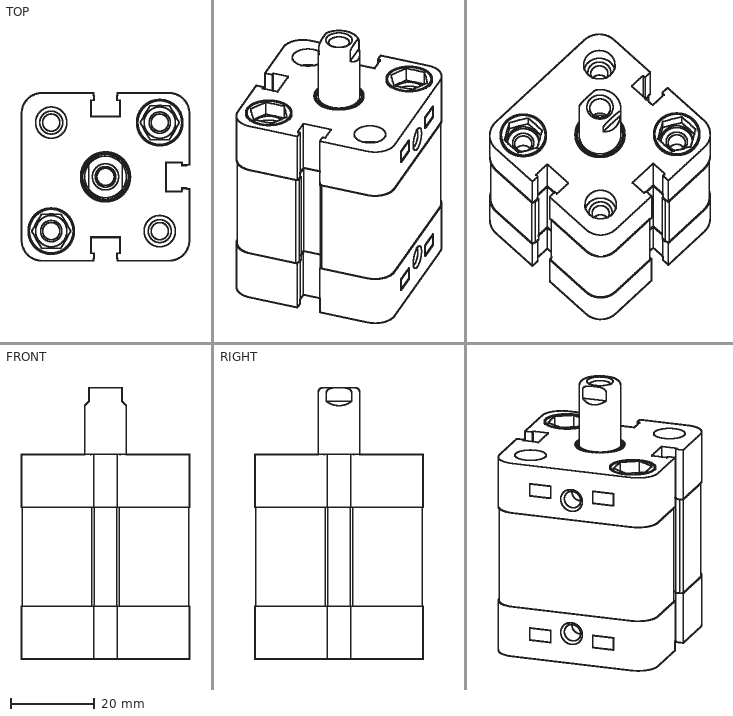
import cadquery as cq
import math


TOTAL_HEIGHT = 65.0
BODY_HEIGHT = 49.0
CAP_WIDTH = 40.3
TUBE_WIDTH = 40.0
CORNER_RADIUS = 5.0
CAP_HEIGHT = 12.6
TUBE_HEIGHT = BODY_HEIGHT - 2 * CAP_HEIGHT
TUBE_TOP = CAP_HEIGHT + TUBE_HEIGHT

SLOT_ANGLES = (0, 90, -90)
SLOT_LIP = 18.3
CAP_SLOT_FLOOR = 14.4
CAP_SLOT_WIDTH = 7.1
CAP_SLOT_OPENING = 5.75
TUBE_SLOT_FLOOR = 14.55
TUBE_SLOT_WIDTH = 6.8
TUBE_SLOT_OPENING = 5.3
TUBE_SLOT_CHAMFER = 0.65

MOUNT_OFFSET = 13.0
THREAD_DIAMETER = 4.13
THREAD_DEPTH = 6.0
RECESS_DEPTH = 4.5
SCREW_CORNERS = ((MOUNT_OFFSET, MOUNT_OFFSET), (-MOUNT_OFFSET, -MOUNT_OFFSET))
PLAIN_CORNERS = ((-MOUNT_OFFSET, MOUNT_OFFSET), (MOUNT_OFFSET, -MOUNT_OFFSET))
RECESS_DIAMETER = 7.5
PLAIN_THREAD_MOUTH = 5.5
SCREW_HEAD_DIAMETER = 11.1
SCREW_HEAD_TOP_DIAMETER = 10.48
SCREW_THREAD_MOUTH = 5.1
HEX_ACROSS_FLATS = 8.1
HEX_DEPTH = 3.4
HEX_RELIEF_DIAMETER = 8.25

PORT_HEIGHT = 7.6
PORT_MOUTH_DIAMETER = 5.5
PORT_DEPTH = 6.0
PANEL_WIDTH = 5.3
PANEL_HEIGHT = 3.05
PANEL_OFFSET = 8.0
PANEL_FROM_END = 6.2
PANEL_DEPTH = 0.2

ROD_DIAMETER = 10.0
ROD_FILLET = 1.1
ROD_FLATS = 8.0
ROD_FLAT_LENGTH = 3.3
ROD_HOLE_MOUTH = 6.3
ROD_HOLE_DIAMETER = 4.92
ROD_HOLE_DEPTH = 9.0
ROD_CORE_DEPTH = 12.0
ROD_FLOOR_ANGLE = 118.0
WIPER_MOUTH_DIAMETER = 12.0
WIPER_BORE_DIAMETER = 11.4
WIPER_LIP_DIAMETER = 10.9
WIPER_LIP_DEPTH = 0.2
WIPER_DEPTH = 0.4


def revolved(profile):
    """Solid of revolution about Z from (radius, height) points."""
    return cq.Workplane("XZ").polyline(profile).close().revolve(360, (0, 0, 0), (0, 1, 0))


def block(width, bottom, height):
    """Square prism with rounded upright corners."""
    prism = cq.Workplane("XY").workplane(offset=bottom).rect(width, width).extrude(height)
    return prism.edges("|Z").fillet(CORNER_RADIUS)


def cut_slots(body, side, floor, width, opening, mouth_chamfer):
    """Cut the T-slots through the full height of a body."""
    outside = 2 * side - SLOT_LIP
    points = [(floor, width / 2), (SLOT_LIP, width / 2), (SLOT_LIP, opening / 2)]
    if mouth_chamfer:
        points.append((side - mouth_chamfer, opening / 2))
        points.append((side, opening / 2 + mouth_chamfer))
    points.append((outside, points[-1][1]))
    points += [(x, -y) for x, y in reversed(points)]
    cutter = cq.Workplane("XY").polyline(points).close().extrude(BODY_HEIGHT)
    for angle in SLOT_ANGLES:
        body = body.cut(cutter.rotate((0, 0, 0), (0, 0, 1), angle))
    return body


def tapped_hole(mouth, diameter, depth):
    """Blind tapped hole with a 45 degree countersink, running down from Z = 0."""
    countersink = (mouth - diameter) / 2
    return revolved([(0, 0), (mouth / 2, 0), (diameter / 2, -countersink),
                     (diameter / 2, -depth), (0, -depth)])


def cap(bottom, end_face, inward):
    """Slotted cap with its air port and two label panels; inward is the Z sense into the body."""
    side = CAP_WIDTH / 2
    body = block(CAP_WIDTH, bottom, CAP_HEIGHT)
    body = cut_slots(body, side, CAP_SLOT_FLOOR, CAP_SLOT_WIDTH, CAP_SLOT_OPENING, 0)

    port = tapped_hole(PORT_MOUTH_DIAMETER, THREAD_DIAMETER, PORT_DEPTH)
    port = port.rotate((0, 0, 0), (0, 1, 0), -90)
    body = body.cut(port.translate((-side, 0, end_face + inward * PORT_HEIGHT)))

    panel_z = end_face + inward * PANEL_FROM_END
    for panel_y in (-PANEL_OFFSET, PANEL_OFFSET):
        panel = cq.Workplane("XY").box(2 * PANEL_DEPTH, PANEL_WIDTH, PANEL_HEIGHT)
        body = body.cut(panel.translate((-side, panel_y, panel_z)))
    return body


def screw_recess():
    """Groove around the chamfered screw head, hex socket and tapped hole, down from Z = 0."""
    head = SCREW_HEAD_DIAMETER / 2
    head_top = SCREW_HEAD_TOP_DIAMETER / 2
    groove = revolved([(head_top, 0), (head, 0), (head, head_top - head)])
    hex_across_corners = HEX_ACROSS_FLATS / math.cos(math.pi / 6)
    hexagon = cq.Workplane("XY").polygon(6, hex_across_corners).extrude(-HEX_DEPTH)
    relief = cq.Workplane("XY").circle(HEX_RELIEF_DIAMETER / 2).extrude(-HEX_DEPTH)
    bore = cq.Workplane("XY").circle(RECESS_DIAMETER / 2).extrude(-RECESS_DEPTH)
    thread = tapped_hole(SCREW_THREAD_MOUTH, THREAD_DIAMETER, THREAD_DEPTH)
    return groove, hexagon, relief, bore, thread.translate((0, 0, -RECESS_DEPTH))


def plain_recess():
    """Plain bore with a tapped hole in its floor, down from Z = 0."""
    bore = cq.Workplane("XY").circle(RECESS_DIAMETER / 2).extrude(-RECESS_DEPTH)
    thread = tapped_hole(PLAIN_THREAD_MOUTH, THREAD_DIAMETER, THREAD_DEPTH)
    return bore, thread.translate((0, 0, -RECESS_DEPTH))


def rod_passage():
    """Bore for the rod; a countersunk groove at the front face (Z = 0) surrounds the wiper lip."""
    mouth = WIPER_MOUTH_DIAMETER / 2
    bore = WIPER_BORE_DIAMETER / 2
    lip = WIPER_LIP_DIAMETER / 2
    rod = ROD_DIAMETER / 2
    return revolved([(0, 0), (mouth, 0), (bore, bore - mouth), (bore, -WIPER_DEPTH), (lip, -WIPER_DEPTH),
                     (lip, -WIPER_LIP_DEPTH), (rod, -WIPER_LIP_DEPTH), (rod, -CAP_HEIGHT), (0, -CAP_HEIGHT)])


def make_rear_cap():
    return cap(0, 0, 1)


def make_tube():
    body = block(TUBE_WIDTH, CAP_HEIGHT, TUBE_HEIGHT)
    return cut_slots(body, TUBE_WIDTH / 2, TUBE_SLOT_FLOOR, TUBE_SLOT_WIDTH,
                     TUBE_SLOT_OPENING, TUBE_SLOT_CHAMFER)


def make_front_cap():
    body = cap(TUBE_TOP, BODY_HEIGHT, -1)
    body = body.cut(rod_passage().translate((0, 0, BODY_HEIGHT)))
    for corners, cutters in ((SCREW_CORNERS, screw_recess()), (PLAIN_CORNERS, plain_recess())):
        for x, y in corners:
            for cutter in cutters:
                body = body.cut(cutter.translate((x, y, BODY_HEIGHT)))
    return body


def make_rod():
    """Rod resting on the tube, with two wrench flats and a stepped, cone-floored hole in its end."""
    rod = cq.Workplane("XY").workplane(offset=TUBE_TOP).circle(ROD_DIAMETER / 2)
    rod = rod.extrude(TOTAL_HEIGHT - TUBE_TOP).faces(">Z").edges().fillet(ROD_FILLET)

    flat = ROD_FLATS / 2
    flat_end = TOTAL_HEIGHT - ROD_FLAT_LENGTH
    outside = ROD_DIAMETER
    profile = [(flat, TOTAL_HEIGHT), (flat, flat_end), (outside, flat_end - (outside - flat)),
               (outside, TOTAL_HEIGHT)]
    for sign in (1, -1):
        side = [(sign * x, z) for x, z in profile]
        rod = rod.cut(cq.Workplane("XZ").polyline(side).close().extrude(ROD_DIAMETER, both=True))

    mouth = ROD_HOLE_MOUTH / 2
    hole = ROD_HOLE_DIAMETER / 2
    core = THREAD_DIAMETER / 2
    floor_rise = core / math.tan(math.radians(ROD_FLOOR_ANGLE / 2))
    end_hole = revolved([(0, 0), (mouth, 0), (hole, hole - mouth), (hole, -ROD_HOLE_DEPTH),
                        (core, -ROD_HOLE_DEPTH - (hole - core)), (core, -ROD_CORE_DEPTH),
                        (0, -ROD_CORE_DEPTH + floor_rise)])
    return rod.cut(end_hole.translate((0, 0, TOTAL_HEIGHT)))


rear_cap = make_rear_cap()
tube = make_tube()
front_cap = make_front_cap()
rod = make_rod()

result = cq.Compound.makeCompound([rear_cap.val(), tube.val(), front_cap.val(), rod.val()])